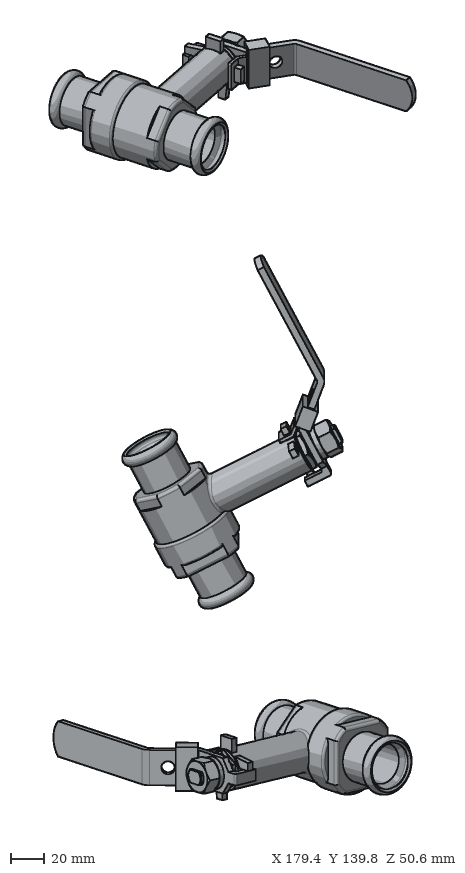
import cadquery as cq
import math


overall_length = 179.4

bore_radius = 25.0 / 2
lip_radius = 14.3
lip_round = 1.3
groove_radius = 16.0
groove_middle = 3.0
cone_start_radius = 15.5
cone_start_depth = 5.0
cone_end_depth = 7.4
pipe_radius = 15.8
pipe_left = -59.4
pipe_right = 47.9
bead_radius = 4.0
bead_ring_radius = 14.3
bead_inset = 3.5

union_radius = 25.3
union_left = -25.6
union_right = -9.5
union_round = 1.6
body_radius = 23.5
body_right = 21.5
spanner_left = -33.2
spanner_across_flats = 42.1
spanner_flat_length = 7.7
end_round = 2.2

tower_radius = 12.7
tower_top = 81.0
tower_root_round = 2.2
washer_radius = 10.0
lock_nut_bottom = 82.0
lock_nut_top = 85.4
lock_nut_across_flats = 22.2
plate_bottom = 86.3
plate_top = 90.2
nut_bottom = 93.6
nut_top = 103.1
nut_across_flats = 19.4
nut_chamfer_angle = 30
stem_radius = 6.3
stem_top = 105.3
stem_flat_width = 8.0
stem_chamfer = 0.7

stop_bottom = 76.0
stop_top = 80.0
stop_tab_width = 10.4
stop_side_reach = 20.5
stop_right_reach = 19.7
stop_block_reach = 20.0
stop_block_tip = 8.6
stop_block_root = 10.0
stop_block_root_x = -7.9

grip_top = 114.5
grip_thickness = 4.3
lever_half_width = 11.1
lever_tip = pipe_left + overall_length
grip_side_end = 115.7
lever_angle = 48
knee_x = 35.2
knee_inner_round = 1.8
plate_end = 17.0
hook_left = -20.3
hook_thickness = 4.3
hook_bottom = 73.9
hook_half_width = 3.5
hook_round = 1.5
shoulder_start = -14.0
shoulder_end = -8.8
lever_hole_diameter = 8.0
lever_hole_height = 104.0

sleeve_x = 20.0
sleeve_y = 94.0
sleeve_length = 13.3
sleeve_depth = 9.9
sleeve_width = 27.6
tongue_left = 13.0
tongue_thickness = 2.2
tongue_bottom = 72.3
tongue_bend = 81.5
tongue_width = 18.7
tongue_run = 6.3
tongue_corner_round = 1.0


def x_cylinder(radius, left, right):
    return cq.Workplane("YZ", origin=(left, 0, 0)).circle(radius).extrude(right - left)


def y_cylinder(radius, bottom, top):
    return cq.Workplane("XZ", origin=(0, bottom, 0)).circle(radius).extrude(bottom - top)


def box_between(x_range, y_range, z_range):
    low, high = zip(x_range, y_range, z_range)
    size = [b - a for a, b in zip(low, high)]
    return cq.Workplane("XY").box(*size, centered=False).translate(low)


def make_pipe_bead(end_x, inward):
    """Rolled bead cut flat at the pipe end; inward is +1 or -1 along X."""
    ring = cq.Workplane("XY").center(end_x + inward * bead_inset, bead_ring_radius).circle(bead_radius)
    ring = ring.revolve(360, (0, -bead_ring_radius), (1, -bead_ring_radius))
    inner_end = end_x + inward * (bead_inset + bead_radius)
    span = x_cylinder(bead_ring_radius + 2 * bead_radius, min(end_x, inner_end), max(end_x, inner_end))
    return ring.intersect(span)


def make_socket_cut(end_x, inward):
    """Rounded lip, seal groove behind it, and a cone down to the flow bore."""
    bend = lip_round * (1 - math.sqrt(0.5))

    def at(depth, radius):
        return (end_x + inward * depth, radius)

    return (
        cq.Workplane("XY")
        .moveTo(*at(0, 0))
        .lineTo(*at(0, lip_radius + lip_round))
        .threePointArc(at(bend, lip_radius + bend), at(lip_round, lip_radius))
        .threePointArc(at(groove_middle, groove_radius), at(cone_start_depth, cone_start_radius))
        .lineTo(*at(cone_end_depth, bore_radius))
        .lineTo(*at(cone_end_depth, 0))
        .close()
        .revolve(360, (0, 0), (1, 0))
    )


def make_spanner_end():
    """Four-flat spanner end of the union nut, with its outer face rounded."""
    square = cq.Workplane("YZ", origin=(spanner_left, 0, 0)).rect(spanner_across_flats, spanner_across_flats)
    length = union_left + union_round - spanner_left
    block = square.extrude(length)
    block = block.intersect(x_cylinder(union_radius, spanner_left, spanner_left + length))
    return block.faces("<X").edges().fillet(end_round)


def make_union():
    collar = x_cylinder(union_radius, union_left, union_right).edges().fillet(union_round)
    return collar.union(make_spanner_end())


def make_body():
    """Main body with the spindle tower and four diagonal spanner flats."""
    flat_start = body_right - spanner_flat_length
    square = cq.Workplane("YZ", origin=(flat_start, 0, 0)).rect(spanner_across_flats, spanner_across_flats)
    square = square.extrude(spanner_flat_length).rotate((0, 0, 0), (1, 0, 0), 45)
    flats = x_cylinder(union_radius, flat_start, body_right).cut(square)
    body = x_cylinder(body_radius, union_left, body_right).cut(flats)
    body = body.faces(">X").edges().fillet(end_round)
    tower = y_cylinder(tower_radius, 0, tower_top)
    body = body.union(tower)
    near_root = cq.selectors.BoxSelector(
        (-tower_radius, body_radius - tower_radius / 2, -tower_radius),
        (tower_radius, body_radius + tower_root_round, tower_radius),
    )
    return body.edges(near_root).fillet(tower_root_round)


def make_hex_nut(across_flats, bottom, top, chamfer_bottom, corner_angle):
    """Hexagon along Y with its corners cut back by cones."""
    corner_radius = across_flats / 2 / math.cos(math.pi / 6)
    corner_cut = corner_radius - across_flats / 2
    drop = corner_cut * math.tan(math.radians(nut_chamfer_angle))
    nut = (
        cq.Workplane("XZ", origin=(0, bottom, 0))
        .transformed(rotate=(0, 0, corner_angle))
        .polygon(6, 2 * corner_radius)
        .extrude(bottom - top)
    )
    envelope = y_cylinder(corner_radius, bottom, top).faces(">Y").edges().chamfer(drop, corner_cut)
    if chamfer_bottom:
        envelope = envelope.faces("<Y").edges().chamfer(drop, corner_cut)
    return nut.intersect(envelope)


def make_spindle():
    stem = y_cylinder(stem_radius, tower_top, stem_top).faces(">Y").edges().chamfer(stem_chamfer)
    flats = box_between(
        (-stem_radius, stem_radius), (plate_bottom, stem_top), (-stem_flat_width / 2, stem_flat_width / 2)
    )
    stem = stem.intersect(flats.union(y_cylinder(stem_radius, tower_top, plate_bottom)))
    return (
        stem.union(y_cylinder(washer_radius, tower_top, lock_nut_bottom))
        .union(make_hex_nut(lock_nut_across_flats, lock_nut_bottom, lock_nut_top, False, 90))
        .union(y_cylinder(washer_radius, plate_top, nut_bottom))
        .union(make_hex_nut(nut_across_flats, nut_bottom, nut_top, True, 0))
    )


def make_stop_plate():
    """Two straight tabs, and two blocks that stop the lever hook a quarter turn apart."""
    half = stop_tab_width / 2
    height = (stop_bottom, stop_top)
    side_tab = box_between((-half, half), height, (0, stop_side_reach))
    right_tab = box_between((0, stop_right_reach), height, (-half, half))
    open_block = [
        (-stop_block_reach, hook_half_width),
        (-stop_block_reach, stop_block_tip),
        (stop_block_root_x, stop_block_root),
        (stop_block_root_x, hook_half_width),
    ]
    closed_block = [(z, x) for x, z in open_block]
    plate = side_tab.union(right_tab)
    for corners in (open_block, closed_block):
        block = cq.Workplane("XZ", origin=(0, stop_bottom, 0)).polyline(corners).close()
        plate = plate.union(block.extrude(stop_bottom - stop_top))
    return plate


def make_lever():
    """Bent strip seen from the side, trimmed by its plan outline."""
    angle = math.radians(lever_angle)
    slope = math.tan(angle)
    grip_bottom = grip_top - grip_thickness
    inner_knee_x = knee_x + grip_thickness * math.tan(angle / 2)
    fold_x = knee_x - (grip_top - plate_top) / slope
    underside_y = grip_bottom - (inner_knee_x - plate_end) * slope
    hook_right = hook_left + hook_thickness
    strip = (
        cq.Workplane("XY", origin=(0, 0, -lever_half_width))
        .polyline([
            (hook_left, hook_bottom),
            (hook_right, hook_bottom),
            (hook_right, plate_bottom),
            (plate_end, plate_bottom),
            (plate_end, underside_y),
            (inner_knee_x, grip_bottom),
            (lever_tip, grip_bottom),
            (lever_tip, grip_top),
            (knee_x, grip_top),
            (fold_x, plate_top),
            (hook_left, plate_top),
        ])
        .close()
        .extrude(2 * lever_half_width)
    )

    def round_bend(solid, x, y, radius):
        near = grip_thickness / 4
        at_bend = cq.selectors.BoxSelector(
            (x - near, y - near, -lever_half_width), (x + near, y + near, lever_half_width)
        )
        return solid.edges("|Z").edges(at_bend).fillet(radius)

    strip = round_bend(strip, inner_knee_x, grip_bottom, knee_inner_round)
    strip = round_bend(strip, knee_x, grip_top, knee_inner_round + grip_thickness)
    strip = round_bend(strip, hook_left, plate_top, hook_round)
    strip = round_bend(strip, hook_right, plate_bottom, hook_round)

    outline = (
        cq.Workplane("XZ", origin=(0, hook_bottom, 0))
        .moveTo(hook_left, -hook_half_width)
        .lineTo(shoulder_start, -hook_half_width)
        .lineTo(shoulder_end, -lever_half_width)
        .lineTo(grip_side_end, -lever_half_width)
        .threePointArc((lever_tip, 0), (grip_side_end, lever_half_width))
        .lineTo(shoulder_end, lever_half_width)
        .lineTo(shoulder_start, hook_half_width)
        .lineTo(hook_left, hook_half_width)
        .close()
        .extrude(hook_bottom - grip_top)
    )
    hole_x = knee_x - (grip_top - lever_hole_height) / slope
    hole_axis = cq.Plane((hole_x, lever_hole_height, 0), xDir=(0, 0, 1),
                         normal=(math.sin(angle), -math.cos(angle), 0))
    hole = cq.Workplane(hole_axis).circle(lever_hole_diameter / 2).extrude(2 * grip_thickness, both=True)
    return strip.intersect(outline).cut(hole)


def make_locking_slide():
    """Block around the sloping lever with a thin tongue reaching down to the stop plate."""
    angle = math.radians(lever_angle)
    sleeve = (
        cq.Workplane("XY")
        .box(sleeve_length, sleeve_depth, sleeve_width)
        .rotate((0, 0, 0), (0, 0, 1), lever_angle)
        .translate((sleeve_x, sleeve_y, 0))
    )
    tongue_right = tongue_left + tongue_thickness
    outer_bend = tongue_bend - tongue_thickness * math.tan((math.pi / 2 - angle) / 2)
    run_x = tongue_run * math.cos(angle)
    run_y = tongue_run * math.sin(angle)
    top_x = tongue_left + run_x
    top_y = tongue_bend + run_y
    tongue = (
        cq.Workplane("XY", origin=(0, 0, -tongue_width / 2))
        .polyline([
            (tongue_left, tongue_bottom),
            (tongue_right, tongue_bottom),
            (tongue_right, outer_bend),
            (top_x + tongue_thickness * math.sin(angle), top_y - tongue_thickness * math.cos(angle)),
            (top_x, top_y),
            (tongue_left, tongue_bend),
        ])
        .close()
        .extrude(tongue_width)
    )
    tongue = tongue.faces("<Y").edges("|X").fillet(tongue_corner_round)
    return sleeve.union(tongue)


press_ends = ((pipe_left, 1), (pipe_right, -1))
flow_bore = x_cylinder(bore_radius, pipe_left, pipe_right)

result = make_body().union(make_union())
result = result.union(x_cylinder(pipe_radius, pipe_left, pipe_right))
for end_x, inward in press_ends:
    result = result.union(make_pipe_bead(end_x, inward))
result = result.cut(flow_bore)
for end_x, inward in press_ends:
    result = result.cut(make_socket_cut(end_x, inward))
for fitting in (make_stop_plate(), make_spindle(), make_lever(), make_locking_slide()):
    result = result.union(fitting)